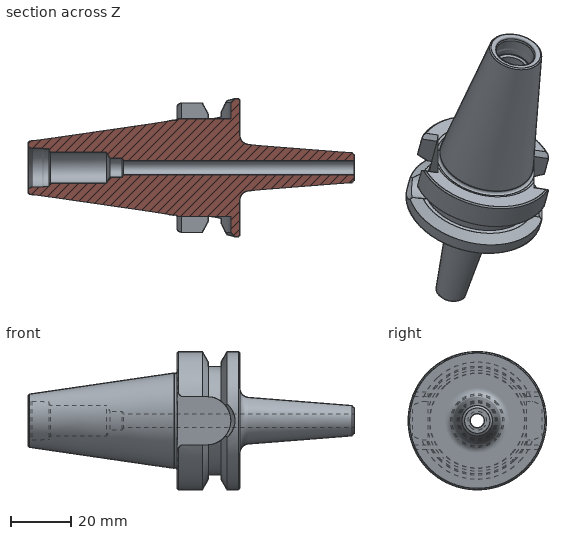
import cadquery as cq
import math


gauge_radius = 31.75 / 2
taper_length = 48.4
taper_slope = 7 / 48
shank_edge = 0.4
relief_radius = 15.75
relief_fillet = 1.0

flange_radius = 23.0
flange_start = 1.0
flange_end = 22.0
flange_edge = 0.5
recess_depth = 0.3
recess_rim_radius = 17.65

groove_centre = 13.6
groove_floor_width = 4.2
groove_floor_radius = 18.1
groove_wall_radius = 19.5
flank_angle = math.radians(30)

nose_end = 60.0
nose_tip_radius = 5.0
nose_angle = math.radians(4.5)
nose_fillet = 3.0
nose_edge = 0.8

slot_floor = 16.3
slot_half_width = 8.05
slot_end_centre = 10.9
slot_end_bevel = 1.4
mouth_bevel = 1.5

entry_round = 0.67
centre_radius = 6.7
centre_half_angle = math.radians(30)
pilot_radius = 6.4
pilot_depth = 4.7
guide_radius = 6.25
guide_taper = 0.6
guide_depth = 6.9
thread_radius = 5.1
thread_bevel_radius = 5.9
thread_bevel_angle = math.radians(60)
thread_depth = 26.0
drill_half_angle = math.radians(59)
coolant_radius = 3.1
coolant_length = 4.0
through_radius = 2.3


def revolve_about_x(profile):
    return profile.close().revolve(360, (0, 0, 0), (1, 0, 0))


def point_on_circle(centre_x, centre_r, radius, angle):
    return (centre_x + radius * math.cos(angle), centre_r + radius * math.sin(angle))


def nose_radius(x):
    return nose_tip_radius + (nose_end - x) * math.tan(nose_angle)


def turned_body():
    small_end = -taper_length
    small_radius = gauge_radius - taper_length * taper_slope
    edge_radius = small_radius + shank_edge * taper_slope
    flank_run = (flange_radius - groove_wall_radius) * math.tan(flank_angle)
    groove_left = groove_centre - groove_floor_width / 2
    groove_right = groove_centre + groove_floor_width / 2

    face_angle = math.pi
    cone_angle = 1.5 * math.pi - nose_angle
    fillet_x = flange_end + nose_fillet
    fillet_r = nose_radius(fillet_x) + nose_fillet / math.cos(nose_angle)
    fillet_middle = point_on_circle(fillet_x, fillet_r, nose_fillet, (face_angle + cone_angle) / 2)
    fillet_finish = point_on_circle(fillet_x, fillet_r, nose_fillet, cone_angle)

    recess_floor = flange_start + recess_depth
    relief_end = recess_floor - relief_fillet
    relief_top = relief_radius + relief_fillet
    relief_middle = point_on_circle(relief_end, relief_top, relief_fillet, -math.pi / 4)

    profile = (
        cq.Workplane("XZ")
        .moveTo(small_end, 0)
        .lineTo(small_end, small_radius - shank_edge)
        .lineTo(small_end + shank_edge, edge_radius)
        .lineTo(0, gauge_radius)
        .lineTo(relief_end, relief_radius)
        .threePointArc(relief_middle, (recess_floor, relief_top))
        .lineTo(flange_start, recess_rim_radius)
        .lineTo(flange_start, flange_radius - flange_edge)
        .lineTo(flange_start + flange_edge, flange_radius)
        .lineTo(groove_left - flank_run, flange_radius)
        .lineTo(groove_left, groove_wall_radius)
        .lineTo(groove_left, groove_floor_radius)
        .lineTo(groove_right, groove_floor_radius)
        .lineTo(groove_right, groove_wall_radius)
        .lineTo(groove_right + flank_run, flange_radius)
        .lineTo(flange_end - flange_edge, flange_radius)
        .lineTo(flange_end, flange_radius - flange_edge)
        .lineTo(flange_end, fillet_r)
        .threePointArc(fillet_middle, fillet_finish)
        .lineTo(nose_end - nose_edge, nose_radius(nose_end - nose_edge))
        .lineTo(nose_end, nose_radius(nose_end) - nose_edge)
        .lineTo(nose_end, 0)
    )
    return revolve_about_x(profile)


def bore():
    start = -taper_length
    centre_start = start + entry_round
    rim_radius = centre_radius + entry_round
    round_middle = point_on_circle(centre_start, rim_radius, entry_round, 1.25 * math.pi)
    centre_end = centre_start + (centre_radius - pilot_radius) / math.tan(centre_half_angle)
    pilot_end = start + pilot_depth
    guide_end = start + guide_depth
    bevel_end = guide_end + (thread_bevel_radius - thread_radius) / math.tan(thread_bevel_angle)
    thread_end = start + thread_depth
    thread_cone_end = thread_end + (thread_radius - coolant_radius) / math.tan(drill_half_angle)
    coolant_end = thread_cone_end + coolant_length
    coolant_cone_end = coolant_end + (coolant_radius - through_radius) / math.tan(drill_half_angle)
    profile = (
        cq.Workplane("XZ")
        .moveTo(start, 0)
        .lineTo(start, rim_radius)
        .threePointArc(round_middle, (centre_start, centre_radius))
        .lineTo(centre_end, pilot_radius)
        .lineTo(pilot_end, pilot_radius)
        .lineTo(pilot_end + guide_taper, guide_radius)
        .lineTo(guide_end, guide_radius)
        .lineTo(guide_end, thread_bevel_radius)
        .lineTo(bevel_end, thread_radius)
        .lineTo(thread_end, thread_radius)
        .lineTo(thread_cone_end, coolant_radius)
        .lineTo(coolant_end, coolant_radius)
        .lineTo(coolant_cone_end, through_radius)
        .lineTo(nose_end, through_radius)
        .lineTo(nose_end, 0)
    )
    return revolve_about_x(profile)


def drive_slot():
    """Cutter for the slot on the +Y side."""
    height = flange_radius - slot_floor
    mouth_end = flange_start + mouth_bevel
    mouth_half = slot_half_width + mouth_bevel
    slot = (
        cq.Workplane("XZ", origin=(0, slot_floor, 0))
        .moveTo(flange_start, -mouth_half)
        .lineTo(mouth_end, -slot_half_width)
        .lineTo(slot_end_centre, -slot_half_width)
        .threePointArc(
            (slot_end_centre + slot_half_width, 0),
            (slot_end_centre, slot_half_width),
        )
        .lineTo(mouth_end, slot_half_width)
        .lineTo(flange_start, mouth_half)
        .close()
        .extrude(-height)
    )
    bevel = cq.Workplane(
        cq.Solid.makeCone(
            slot_half_width,
            slot_half_width + slot_end_bevel,
            slot_end_bevel,
            cq.Vector(slot_end_centre, flange_radius - slot_end_bevel, 0),
            cq.Vector(0, 1, 0),
        )
    )
    end_side = (
        cq.Workplane("XY")
        .box(flange_end, 2 * flange_radius, 2 * flange_radius, centered=(False, True, True))
        .translate((groove_centre, 0, 0))
    )
    return slot.union(bevel.intersect(end_side))


def holder():
    slot = drive_slot()
    body = turned_body().cut(bore())
    return body.cut(slot).cut(slot.mirror("XZ"))


result = holder()